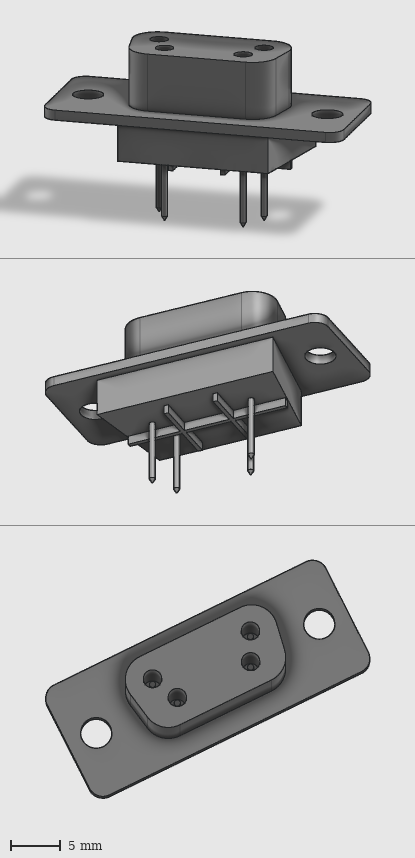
import cadquery as cq
import math

flange_length = 31.2
flange_width = 12.5
flange_thickness = 1.05
flange_corner_radius = 1.5
mount_hole_diameter = 3.12
mount_hole_spacing = 24.95

side_angle = 10.0
shell_height = 5.95
shell_width = 8.02
shell_mid_length = 16.0
shell_corner_radius = 2.6
housing_height = 4.02
housing_width = 10.67
housing_mid_length = 17.6

rib_height = 0.95
rib_thickness = 0.47
long_rib_length = 17.4
cross_rib_spacing = 5.43

pin_diameter = 0.62
pin_drop = 6.95
pin_tip_height = 0.47
pin_tip_diameter = 0.05
socket_diameter = 1.85
socket_depth = shell_height
pin_rise = socket_depth / 2
pin_row_offset = 1.4
back_row_spacing = 10.95
front_row_spacing = 8.2

flange_bottom = -flange_thickness
housing_bottom = flange_bottom - housing_height
pin_shaft_bottom = housing_bottom - pin_drop + pin_tip_height

pin_points = [
    (side * spacing / 2, row_y)
    for spacing, row_y in ((back_row_spacing, pin_row_offset), (front_row_spacing, -pin_row_offset))
    for side in (-1, 1)
]


def tapered_block(mid_length, width, bottom, height):
    """Upright block whose outline is a trapezoid, longest on its +Y side."""
    half_growth = width / 2 * math.tan(math.radians(side_angle))
    back_x = mid_length / 2 + half_growth
    front_x = mid_length / 2 - half_growth
    outline = [
        (-front_x, -width / 2),
        (front_x, -width / 2),
        (back_x, width / 2),
        (-back_x, width / 2),
    ]
    return cq.Workplane("XY", origin=(0, 0, bottom)).polyline(outline).close().extrude(height)


def make_flange():
    plate = (
        cq.Workplane("XY", origin=(0, 0, flange_bottom))
        .rect(flange_length, flange_width)
        .extrude(flange_thickness)
        .edges("|Z")
        .fillet(flange_corner_radius)
    )
    return (
        plate.faces(">Z")
        .workplane()
        .pushPoints([(-mount_hole_spacing / 2, 0), (mount_hole_spacing / 2, 0)])
        .hole(mount_hole_diameter)
    )


def make_shell():
    shell = tapered_block(shell_mid_length, shell_width, 0, shell_height)
    shell = shell.edges("|Z").fillet(shell_corner_radius)
    sockets = (
        cq.Workplane("XY", origin=(0, 0, shell_height))
        .pushPoints(pin_points)
        .circle(socket_diameter / 2)
        .extrude(-socket_depth)
    )
    return shell.cut(sockets)


def make_ribs():
    base = cq.Workplane("XY", origin=(0, 0, housing_bottom))
    long_rib = base.rect(long_rib_length, rib_thickness).extrude(-rib_height)
    cross_ribs = (
        base.pushPoints([(-cross_rib_spacing / 2, 0), (cross_rib_spacing / 2, 0)])
        .rect(rib_thickness, shell_width)
        .extrude(-rib_height)
    )
    return long_rib.union(cross_ribs)


def make_pins():
    """Pins stand up inside the sockets and end below in blunt cones."""
    radius = pin_diameter / 2
    tip_radius = pin_tip_diameter / 2
    profile = [
        (0, pin_rise),
        (radius, pin_rise),
        (radius, pin_shaft_bottom),
        (tip_radius, pin_shaft_bottom - pin_tip_height),
        (0, pin_shaft_bottom - pin_tip_height),
    ]
    pin = cq.Workplane("XZ").polyline(profile).close().revolve(360, (0, 0, 0), (0, 1, 0))
    pins = cq.Workplane("XY")
    for x, y in pin_points:
        pins = pins.add(pin.translate((x, y, 0)))
    return pins.combine()


housing = tapered_block(housing_mid_length, housing_width, housing_bottom, housing_height)

result = make_flange().union(make_shell()).union(housing).union(make_ribs()).union(make_pins())